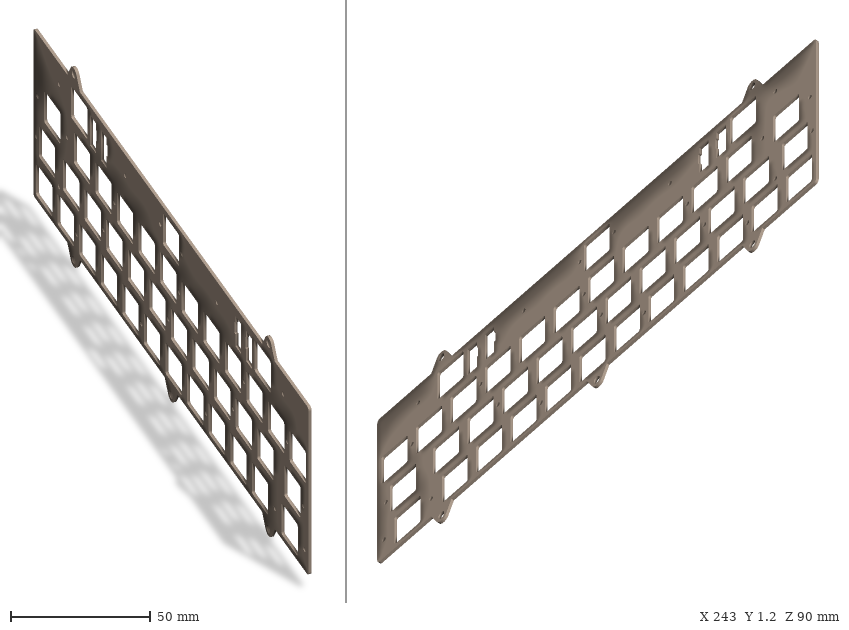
import cadquery as cq
import math

plate_width = 243.0
columns = 12.75
rows = 4
pitch = plate_width / columns
plate_height = rows * pitch
thickness = 1.2
plate_corner_radius = 1.5

switch_size = 14.3
switch_corner_radius = 1.0
switch_drop = 0.2

key_widths = [
    [1.75] + [1] * 11,
    [1.25] + [1] * 10 + [1.5],
    [1] * 11 + [1.75],
]
top_switch_offset = 4.25

screw_hole_diameter = 2.0
screw_step = pitch / 16
screw_places = [
    [-83, -34, -8, 8, 34, 83],
    [-99, -77, -42, 6, 54, 86],
    [-100, -50, -2, 46, 98],
    [-70, -22, 26, 77, 99],
]
extra_screw_place = -83
extra_screw_z = -18.0

overall_height = 90.0
tab_offset = 86.0
tab_tip_radius = 3.0
tab_base_half_width = 5.5
tab_hole_diameter = 3.2
tab_hole_z = overall_height / 2 - tab_tip_radius

slot_width = 5.0
slot_height = 13.5
slot_center_z = 27.2
slot_outer_x = 71.5
slots_per_side = 2
slot_spacing = pitch / 2
slot_notch_depth = 0.7
slot_notch_height = 5.0
slot_notch_rise = 1.2


def sheet():
    return cq.Workplane("XZ")


def extrude(sketch):
    """Give a sketch on the XZ plane the plate thickness, centred on Y = 0."""
    return sketch.extrude(thickness / 2, both=True)


def row_z(row):
    """Height of the middle of a key row; row 0 is the top one."""
    return ((rows - 1) / 2 - row) * pitch


def switch_points():
    """Centres of all switch openings as (x, z)."""
    top_z = row_z(0) - switch_drop
    points = [(place * top_switch_offset * pitch, top_z) for place in (-1, 0, 1)]
    for row, widths in enumerate(key_widths, start=1):
        left_edge = -plate_width / 2
        for width in widths:
            points.append((left_edge + width * pitch / 2, row_z(row) - switch_drop))
            left_edge += width * pitch
    return points


def screw_points():
    """Centres of all screw holes as (x, z)."""
    points = [(extra_screw_place * screw_step, extra_screw_z)]
    for row, places in enumerate(screw_places):
        points += [(place * screw_step, row_z(row)) for place in places]
    return points


def tab(x, side):
    """Tab with a round tip and sides tangent to it; side is +1 at the top, -1 at the bottom."""
    base_z = plate_height / 2
    rise = tab_hole_z - base_z
    reach = math.hypot(tab_base_half_width, rise)
    angle = math.acos(tab_tip_radius / reach) - math.atan2(rise, tab_base_half_width)
    tangent_x = tab_tip_radius * math.cos(angle)
    tangent_z = side * (tab_hole_z + tab_tip_radius * math.sin(angle))
    outline = (
        sheet()
        .moveTo(x - tab_base_half_width, 0)
        .lineTo(x - tab_base_half_width, side * base_z)
        .lineTo(x - tangent_x, tangent_z)
        .threePointArc((x, side * overall_height / 2), (x + tangent_x, tangent_z))
        .lineTo(x + tab_base_half_width, side * base_z)
        .lineTo(x + tab_base_half_width, 0)
        .close()
    )
    return extrude(outline)


def stabiliser_slot(outer_x, side):
    """Slot with its plain edge at outer_x; side is -1 left of the middle, +1 right of it."""
    center_x = outer_x - side * slot_width / 2
    body = extrude(sheet().center(center_x, slot_center_z).rect(slot_width, slot_height))
    notch_x = center_x - side * slot_notch_depth
    notch_z = slot_center_z + slot_notch_rise
    notch = extrude(sheet().center(notch_x, notch_z).rect(slot_width, slot_notch_height))
    return body.union(notch)


plate = extrude(sheet().rect(plate_width, plate_height)).edges("|Y").fillet(plate_corner_radius)
tab_places = [(-tab_offset, 1), (tab_offset, 1), (-tab_offset, -1), (0, -1), (tab_offset, -1)]
for x, side in tab_places:
    plate = plate.union(tab(x, side))

tab_holes = [(x, side * tab_hole_z) for x, side in tab_places]
plate = plate.cut(extrude(sheet().pushPoints(tab_holes).circle(tab_hole_diameter / 2)))
plate = plate.cut(extrude(sheet().pushPoints(screw_points()).circle(screw_hole_diameter / 2)))

switches = extrude(sheet().pushPoints(switch_points()).rect(switch_size, switch_size))
plate = plate.cut(switches.edges("|Y").fillet(switch_corner_radius))

for side in (-1, 1):
    for index in range(slots_per_side):
        outer_x = side * (slot_outer_x - index * slot_spacing)
        plate = plate.cut(stabiliser_slot(outer_x, side))

result = plate